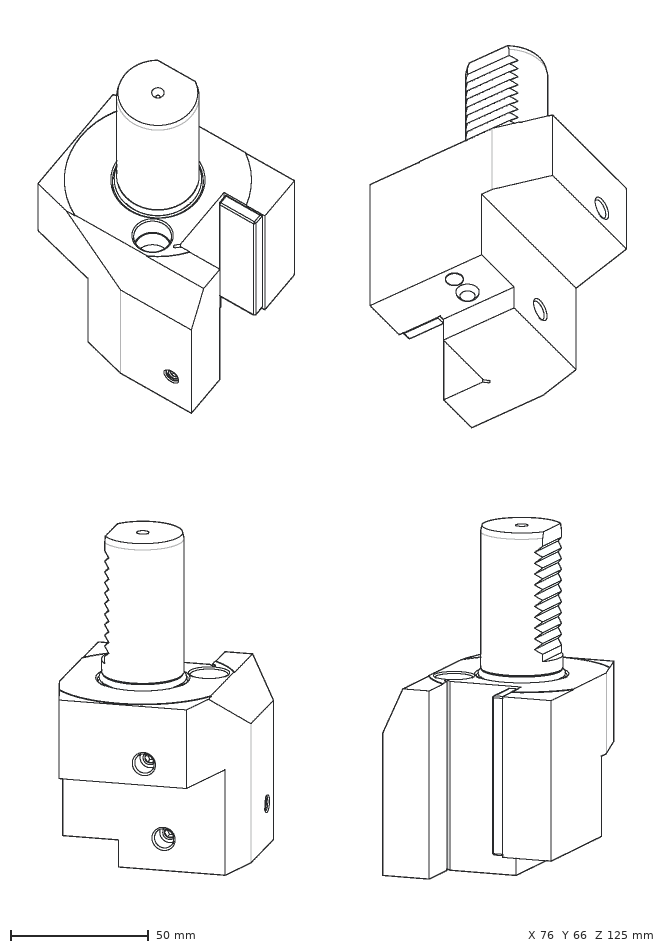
import cadquery as cq
import math


LEFT_X = -35.0
RIGHT_X = 41.0
BACK_Y = 28.0
FRONT_Y = -38.0
LEFT_FACE_BACK_Y = 22.0
LEFT_FACE_FRONT_Y = -26.0
SIDE_TAPER = math.radians(15)
BOTTOM_Z = -70.0
SEAT_RADIUS = 34.0
SEAT_HEIGHT = 0.2

BEVEL_WIDTH = 8.0
BEVEL_BOTTOM_Z = -17.2

LEFT_STEP_X = -8.0
LEFT_STEP_Z = -30.0
BACK_STEP_Y = 7.0
BACK_STEP_Z = -59.8

SLOT_X = 23.0
SLOT_BACK_Y = 9.0
SLOT_FRONT_Y = -19.8
RELIEF_RADIUS = 0.6
RELIEF_REACH = 1.0
RELIEF_ANGLE = 45

SHANK_RADIUS = 15.0
SHANK_LENGTH = 55.0
TIP_RADIUS = 14.5
TIP_TAPER_LENGTH = 2.2
NECK_RADIUS = 14.6
NECK_TOP_Z = 1.9
SHANK_BASE_Z = 2.2
RING_RADIUS = 1.2
RING_Z = 0.4
GROOVE_DEPTH = 2.0
GROOVE_RADIUS = 16.5
GROOVE_CHAMFER = 0.6

FLAT_Y = 11.9
FLAT_BOTTOM_Z = 7.0
TOOTH_DEPTH = 2.2
TOOTH_PITCH = 4.0
NOTCH_COUNT = 10
TEETH_MIDDLE_Z = 29.8

CENTRE_RADIUS = 2.2
CENTRE_DRILL_RADIUS = 0.8
CENTRE_DRILL_DEPTH = 5.0
CENTRE_HALF_ANGLE = math.radians(30)

SEAT_HOLE_X = 12.5
SEAT_HOLE_Y = -21.5
SEAT_HOLE_RADIUS = 6.9
SEAT_HOLE_CHAMFER = 0.6
SEAT_HOLE_DEPTH = 7.8
SEAT_BORE_RADIUS = 6.5
SEAT_BORE_DEPTH = 15.0
SEAT_HOLE_POINT_DEPTH = 4.0

CLAMP_Y = -10.0
CLAMP_UPPER_Z = -22.0
CLAMP_LOWER_Z = -58.0
CLAMP_RADIUS = 3.6
CLAMP_CHAMFER = 0.8
CLAMP_DEPTH = 8.0
CLAMP_SOCKET_RADIUS = 2.0
CLAMP_SOCKET_DEPTH = 4.0

PLUG_X = 32.1
PLUG_Z = -53.9
PLUG_RADIUS = 2.8
PLUG_CHAMFER = 0.5
PLUG_DEPTH = 1.0
PLUG_SOCKET_RADIUS = 1.5
PLUG_SOCKET_DEPTH = 3.0

SOCKET_CHAMFER = 0.5

CHAMFER_ANGLE = 45

BALL_Y = 14.2
BALL_RADIUS = 4.2
BALL_TIP_RADIUS = 2.8
BALL_HEIGHT = 2.0
BALL_BULGE = 0.2
PAD_Y = 22.8
PAD_RADIUS = 3.2
PAD_HEIGHT = 0.4

STRIP_LEFT_X = 23.8
STRIP_RIGHT_X = 39.9
STRIP_THICKNESS = 4.8
STRIP_END_GAP = 0.2
STRIP_CHAMFER = 0.6


def box(x_range, y_range, z_range):
    """Block spanning three (low, high) ranges."""
    low, high = zip(x_range, y_range, z_range)
    size = [b - a for a, b in zip(low, high)]
    return cq.Workplane("XY").box(*size, centered=False).translate(low)


def chamfered_hole(plane, radius, chamfer, depth):
    """Cutter for a flat-bottomed hole whose mouth lies on the plane, drilled against its normal."""
    hole = cq.Workplane(plane).circle(radius).extrude(-depth)
    mouth = cq.Workplane(plane).circle(radius + chamfer).extrude(-chamfer, taper=CHAMFER_ANGLE)
    return hole.union(mouth)


def screw_recess(plane, radius, chamfer, depth, socket_radius, socket_depth):
    """Cutter for a screw hole that ends at the screw's face, with a countersunk hexagon socket there."""
    hole = chamfered_hole(plane, radius, chamfer, depth)
    socket = cq.Workplane(plane).polygon(6, 2 * socket_radius).extrude(-depth - socket_depth)
    mouth = cq.Workplane(plane).workplane(offset=-depth).circle(socket_radius + SOCKET_CHAMFER)
    mouth = mouth.extrude(-SOCKET_CHAMFER, taper=CHAMFER_ANGLE)
    return hole.union(socket).union(mouth)


def block():
    """Housing block with tapered left corners, raised round seat and sloping front edge."""
    back_taper_x = LEFT_X + (BACK_Y - LEFT_FACE_BACK_Y) / math.tan(SIDE_TAPER)
    front_taper_x = LEFT_X + (LEFT_FACE_FRONT_Y - FRONT_Y) / math.tan(SIDE_TAPER)
    outline = [
        (LEFT_X, LEFT_FACE_FRONT_Y),
        (front_taper_x, FRONT_Y),
        (RIGHT_X, FRONT_Y),
        (RIGHT_X, BACK_Y),
        (back_taper_x, BACK_Y),
        (LEFT_X, LEFT_FACE_BACK_Y),
    ]
    full = cq.Workplane("XY").workplane(offset=BOTTOM_Z).polyline(outline).close().extrude(-BOTTOM_Z)
    seat = cq.Workplane("XY").circle(SEAT_RADIUS).extrude(-SEAT_HEIGHT)
    rim = box((LEFT_X, RIGHT_X), (FRONT_Y, BACK_Y), (-SEAT_HEIGHT, 0)).cut(seat)

    bevel = (
        cq.Workplane("YZ", origin=(LEFT_X, 0, 0))
        .polyline([(FRONT_Y, BEVEL_BOTTOM_Z), (FRONT_Y, 0), (FRONT_Y + BEVEL_WIDTH, 0)])
        .close()
        .extrude(RIGHT_X - LEFT_X)
    )
    return full.cut(rim).cut(bevel)


def lower_steps():
    """Cutters for the steps under the left end and under the back."""
    left = box((LEFT_X, LEFT_STEP_X), (FRONT_Y, BACK_Y), (BOTTOM_Z, LEFT_STEP_Z))
    back = box((LEFT_STEP_X, RIGHT_X), (BACK_STEP_Y, BACK_Y), (BOTTOM_Z, BACK_STEP_Z))
    return left.union(back)


def tool_slot():
    """Cutter for the slot through the housing, with a diagonal relief in its front corner."""
    slot = box((SLOT_X, RIGHT_X), (SLOT_FRONT_Y, SLOT_BACK_Y), (BOTTOM_Z, 0))
    relief = (
        cq.Workplane("XY", origin=(SLOT_X, SLOT_FRONT_Y, BOTTOM_Z))
        .transformed(rotate=(0, 0, RELIEF_ANGLE))
        .slot2D(2 * (RELIEF_REACH * math.sqrt(2) + RELIEF_RADIUS), 2 * RELIEF_RADIUS)
        .extrude(-BOTTOM_Z)
    )
    return slot.union(relief)


def ring_groove():
    """Cutter for the chamfered groove round the foot of the shank."""
    return chamfered_hole(cq.Plane.XY(), GROOVE_RADIUS, GROOVE_CHAMFER, GROOVE_DEPTH)


def seat_hole():
    """Cutter for the stepped blind hole in the seat, ending in a drill point."""
    hole = chamfered_hole(cq.Plane.XY(), SEAT_HOLE_RADIUS, SEAT_HOLE_CHAMFER, SEAT_HOLE_DEPTH)
    bore = cq.Workplane("XY").circle(SEAT_BORE_RADIUS).extrude(-SEAT_BORE_DEPTH)
    point = cq.Solid.makeCone(
        SEAT_BORE_RADIUS, 0, SEAT_HOLE_POINT_DEPTH, cq.Vector(0, 0, -SEAT_BORE_DEPTH), cq.Vector(0, 0, -1)
    )
    return hole.union(bore).union(cq.Workplane(point)).translate((SEAT_HOLE_X, SEAT_HOLE_Y, 0))


def clamp_recess(face_x, z):
    """Cutter for one clamping screw hole in a left face."""
    plane = cq.Plane(origin=(face_x, CLAMP_Y, z), xDir=(0, 1, 0), normal=(-1, 0, 0))
    return screw_recess(
        plane, CLAMP_RADIUS, CLAMP_CHAMFER, CLAMP_DEPTH, CLAMP_SOCKET_RADIUS, CLAMP_SOCKET_DEPTH
    )


def plug_recess():
    """Cutter for the plug screw hole in the front face."""
    plane = cq.Plane(origin=(PLUG_X, FRONT_Y, PLUG_Z), xDir=(1, 0, 0), normal=(0, -1, 0))
    return screw_recess(plane, PLUG_RADIUS, PLUG_CHAMFER, PLUG_DEPTH, PLUG_SOCKET_RADIUS, PLUG_SOCKET_DEPTH)


def shank_teeth():
    """Cutter for the flat on the back of the shank and the row of V notches across it."""
    across = (-SHANK_RADIUS, SHANK_RADIUS)
    cutter = box(across, (FLAT_Y, SHANK_RADIUS), (FLAT_BOTTOM_Z, SHANK_LENGTH))
    first_z = TEETH_MIDDLE_Z - TOOTH_PITCH * (NOTCH_COUNT - 1) / 2
    for i in range(NOTCH_COUNT):
        root_z = first_z + i * TOOTH_PITCH
        notch = (
            cq.Workplane("YZ", origin=(-SHANK_RADIUS, 0, root_z))
            .polyline([(FLAT_Y, -TOOTH_PITCH / 2), (FLAT_Y - TOOTH_DEPTH, 0), (FLAT_Y, TOOTH_PITCH / 2)])
            .close()
            .extrude(2 * SHANK_RADIUS)
        )
        cutter = cutter.union(notch)
    return cutter


def centre_hole():
    """Cutter for the 60 degree centre hole in the shank tip."""
    cone_depth = (CENTRE_RADIUS - CENTRE_DRILL_RADIUS) / math.tan(CENTRE_HALF_ANGLE)
    profile = [
        (0, SHANK_LENGTH),
        (CENTRE_RADIUS, SHANK_LENGTH),
        (CENTRE_DRILL_RADIUS, SHANK_LENGTH - cone_depth),
        (CENTRE_DRILL_RADIUS, SHANK_LENGTH - CENTRE_DRILL_DEPTH),
        (0, SHANK_LENGTH - CENTRE_DRILL_DEPTH),
    ]
    return cq.Workplane("XZ").polyline(profile).close().revolve(360, (0, 0), (0, 1))


def shank():
    """Round shank with its sealing ring at the foot, toothed flat and centre hole."""
    turned = (
        cq.Workplane("XZ")
        .moveTo(0, -GROOVE_DEPTH)
        .lineTo(NECK_RADIUS, -GROOVE_DEPTH)
        .lineTo(NECK_RADIUS, RING_Z - RING_RADIUS)
        .threePointArc((NECK_RADIUS + RING_RADIUS, RING_Z), (NECK_RADIUS, RING_Z + RING_RADIUS))
        .lineTo(NECK_RADIUS, NECK_TOP_Z)
        .lineTo(SHANK_RADIUS, SHANK_BASE_Z)
        .lineTo(SHANK_RADIUS, SHANK_LENGTH - TIP_TAPER_LENGTH)
        .lineTo(TIP_RADIUS, SHANK_LENGTH)
        .lineTo(0, SHANK_LENGTH)
        .close()
        .revolve(360, (0, 0), (0, 1))
    )
    return turned.cut(shank_teeth()).cut(centre_hole())


def coolant_fittings():
    """Rounded coolant outlet and low pad under the back step, midway between left step and slot."""
    middle_x = (LEFT_STEP_X + SLOT_X) / 2
    ball = (
        cq.Workplane("XZ")
        .lineTo(BALL_RADIUS, 0)
        .threePointArc(
            ((BALL_RADIUS + BALL_TIP_RADIUS) / 2 + BALL_BULGE, -BALL_HEIGHT / 2 - BALL_BULGE),
            (BALL_TIP_RADIUS, -BALL_HEIGHT),
        )
        .lineTo(0, -BALL_HEIGHT)
        .close()
        .revolve(360, (0, 0), (0, 1))
        .translate((middle_x, BALL_Y, BACK_STEP_Z))
    )
    pad = cq.Workplane("XY", origin=(middle_x, PAD_Y, BACK_STEP_Z)).circle(PAD_RADIUS).extrude(-PAD_HEIGHT)
    return ball.union(pad)


def make_housing():
    """Tool holder housing with its shank."""
    body = block().cut(lower_steps()).cut(tool_slot()).cut(ring_groove()).cut(seat_hole())
    body = body.cut(clamp_recess(LEFT_X, CLAMP_UPPER_Z)).cut(clamp_recess(LEFT_STEP_X, CLAMP_LOWER_Z))
    body = body.cut(plug_recess())
    return body.union(shank()).union(coolant_fittings()).solids()


def make_clamping_strip():
    """Chamfered strip that lies against the back wall of the slot."""
    strip = box(
        (STRIP_LEFT_X, STRIP_RIGHT_X),
        (SLOT_BACK_Y - STRIP_THICKNESS, SLOT_BACK_Y),
        (BACK_STEP_Z + STRIP_END_GAP, -SEAT_HEIGHT - STRIP_END_GAP),
    )
    return strip.faces("<Y or >Z or <Z").edges().chamfer(STRIP_CHAMFER)


housing = make_housing()
clamping_strip = make_clamping_strip()

result = cq.Compound.makeCompound([housing.val(), clamping_strip.val()])